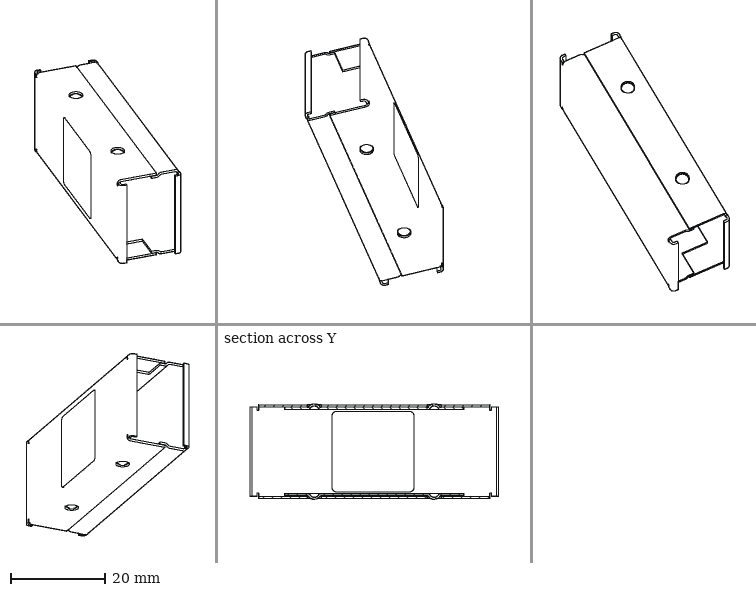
import cadquery as cq
import math


LENGTH = 52.7
WIDTH = 14.0
HEIGHT = 19.9
DOMED_HEIGHT = 20.3
SHEET = 0.5
BEND_RADIUS = 0.9
INNER_BEND_RADIUS = BEND_RADIUS - SHEET

HALF_WIDTH = WIDTH / 2
FLANGE_TOP = HEIGHT / 2
FLANGE_UNDERSIDE = FLANGE_TOP - SHEET
OVERLAP_GAP = 0.08
LEDGE_TOP = FLANGE_UNDERSIDE - OVERLAP_GAP
LEDGE_UNDERSIDE = LEDGE_TOP - SHEET

FLANGE_LENGTH = 49.0
FRONT_FLANGE_END = 1.9
STEP_START = 3.0
STEP_END = FRONT_FLANGE_END
LEDGE_END = 0.8
TAB_END = -5.25
TAB_LENGTH = 37.95

LIP_HEIGHT = 18.95
LIP_DEPTH = 1.55
LIP_GAP = 0.3
WEB_HEIGHT = 17.6
LIP_ROOT = FLANGE_LENGTH / 2 + LIP_GAP

DOME_X = 12.7
DOME_Y = -2.5
DOME_DIAMETER = 2.7
HOLE_DIAMETER = 2.9
DOME_HEIGHT = DOMED_HEIGHT / 2 - LEDGE_TOP

RECESS_LENGTH = 16.65
RECESS_HEIGHT = 16.35
RECESS_X = 0.25
RECESS_DEPTH = 0.7


def polar(center, radius, degrees):
    """Point on a circle, with the angle measured from the first axis."""
    angle = math.radians(degrees)
    return (center[0] + radius * math.cos(angle), center[1] + radius * math.sin(angle))


def centered_box(length, width, height, center):
    return cq.Workplane("XY").box(length, width, height).translate(center)


def extrude_along_x(profile):
    """Extrude a YZ profile over the flange length, centred on X = 0."""
    return profile.extrude(FLANGE_LENGTH / 2, both=True)


def both_mirrored(shape, plane):
    return shape.union(shape.mirror(plane))


def web_with_lips():
    """Flat web on the -Y side with a lip bent toward +Y at each end."""
    face = -HALF_WIDTH
    end = LENGTH / 2
    bend_center = (end - BEND_RADIUS, face + BEND_RADIUS)
    lip = (
        cq.Workplane("XY")
        .moveTo(LIP_ROOT, face)
        .lineTo(bend_center[0], face)
        .threePointArc(polar(bend_center, BEND_RADIUS, -45), (end, bend_center[1]))
        .lineTo(end, face + LIP_DEPTH)
        .lineTo(end - SHEET, face + LIP_DEPTH)
        .lineTo(end - SHEET, bend_center[1])
        .threePointArc(polar(bend_center, INNER_BEND_RADIUS, -45), (bend_center[0], face + SHEET))
        .lineTo(LIP_ROOT, face + SHEET)
        .close()
        .extrude(LIP_HEIGHT / 2, both=True)
    )
    web = centered_box(2 * LIP_ROOT, SHEET, WEB_HEIGHT, (0, face + SHEET / 2, 0))
    return web.union(both_mirrored(lip, "YZ"))


def bent_flange(end):
    """Upper flange that rises from the -Y web, bends over and runs to Y = end."""
    face = -HALF_WIDTH
    bend_center = (face + BEND_RADIUS, FLANGE_TOP - BEND_RADIUS)
    web_joint = WEB_HEIGHT / 2
    profile = (
        cq.Workplane("YZ")
        .moveTo(face, web_joint)
        .lineTo(face, bend_center[1])
        .threePointArc(polar(bend_center, BEND_RADIUS, 135), (bend_center[0], FLANGE_TOP))
        .lineTo(end, FLANGE_TOP)
        .lineTo(end, FLANGE_UNDERSIDE)
        .lineTo(bend_center[0], FLANGE_UNDERSIDE)
        .threePointArc(polar(bend_center, INNER_BEND_RADIUS, 135), (face + SHEET, bend_center[1]))
        .lineTo(face + SHEET, web_joint)
        .close()
    )
    return extrude_along_x(profile)


def stepped_ledge():
    """S-bend that drops the rear flange under the front one, and the full-length ledge after it."""
    run = STEP_START - STEP_END
    drop = FLANGE_TOP - LEDGE_TOP
    mid_radius = (run**2 + drop**2) / (4 * drop)
    small = mid_radius - SHEET / 2
    large = mid_radius + SHEET / 2
    sweep = 2 * math.degrees(math.atan2(drop, run))
    upper = (STEP_START, FLANGE_TOP - large)
    lower = (STEP_END, LEDGE_TOP + small)
    profile = (
        cq.Workplane("YZ")
        .moveTo(STEP_START, FLANGE_TOP)
        .threePointArc(polar(upper, large, 90 + sweep / 2), polar(upper, large, 90 + sweep))
        .threePointArc(polar(lower, small, sweep / 2 - 90), (STEP_END, LEDGE_TOP))
        .lineTo(LEDGE_END, LEDGE_TOP)
        .lineTo(LEDGE_END, LEDGE_UNDERSIDE)
        .lineTo(STEP_END, LEDGE_UNDERSIDE)
        .threePointArc(polar(lower, large, sweep / 2 - 90), polar(lower, large, sweep - 90))
        .threePointArc(polar(upper, small, 90 + sweep / 2), (STEP_START, FLANGE_UNDERSIDE))
        .close()
    )
    return extrude_along_x(profile)


def snap_tab():
    """Narrower upper tab that carries the two domes, pressed out of the sheet."""
    tab = centered_box(
        TAB_LENGTH,
        LEDGE_END - TAB_END,
        SHEET,
        (0, (LEDGE_END + TAB_END) / 2, LEDGE_TOP - SHEET / 2),
    )
    base_radius = DOME_DIAMETER / 2
    dome_radius = (base_radius**2 + DOME_HEIGHT**2) / (2 * DOME_HEIGHT)
    center_z = LEDGE_TOP + DOME_HEIGHT - dome_radius
    blank_size = 2 * DOME_DIAMETER
    for x in (-DOME_X, DOME_X):
        above_tab = centered_box(
            blank_size, blank_size, blank_size, (x, DOME_Y, LEDGE_TOP + blank_size / 2)
        )
        sphere = cq.Workplane("XY", origin=(x, DOME_Y, center_z)).sphere(dome_radius)
        hollow = cq.Workplane("XY", origin=(x, DOME_Y, center_z)).sphere(dome_radius - SHEET)
        tab = tab.union(sphere.intersect(above_tab)).cut(hollow)
    return tab


def rounded_block(growth):
    """Block around the recess, grown on every side, with all its edges rounded."""
    radius = RECESS_DEPTH + growth
    return (
        cq.Workplane("XY")
        .box(RECESS_LENGTH + 2 * growth, 4 * radius, RECESS_HEIGHT + 2 * growth)
        .edges()
        .fillet(radius)
        .translate((RECESS_X, -HALF_WIDTH - radius, 0))
    )


def press_recess(channel):
    """Press a recess into the web, with a bulge of even thickness behind it."""
    behind_face = centered_box(LENGTH, WIDTH, HEIGHT, (0, 0, 0))
    bulge = rounded_block(SHEET).intersect(behind_face)
    return channel.union(bulge).cut(rounded_block(0))


def make_front_channel():
    flange = bent_flange(FRONT_FLANGE_END)
    channel = press_recess(web_with_lips().union(both_mirrored(flange, "XY")))
    holes = (
        cq.Workplane("XY")
        .pushPoints([(-DOME_X, DOME_Y), (DOME_X, DOME_Y)])
        .circle(HOLE_DIAMETER / 2)
        .extrude(HEIGHT, both=True)
    )
    return channel.cut(holes)


def make_rear_channel():
    outer_flange = bent_flange(-STEP_START).mirror("XZ")
    flange = outer_flange.union(stepped_ledge()).union(snap_tab())
    return web_with_lips().mirror("XZ").union(both_mirrored(flange, "XY"))


front_channel = make_front_channel()
rear_channel = make_rear_channel()

result = cq.Compound.makeCompound([*front_channel.solids().vals(), *rear_channel.solids().vals()])